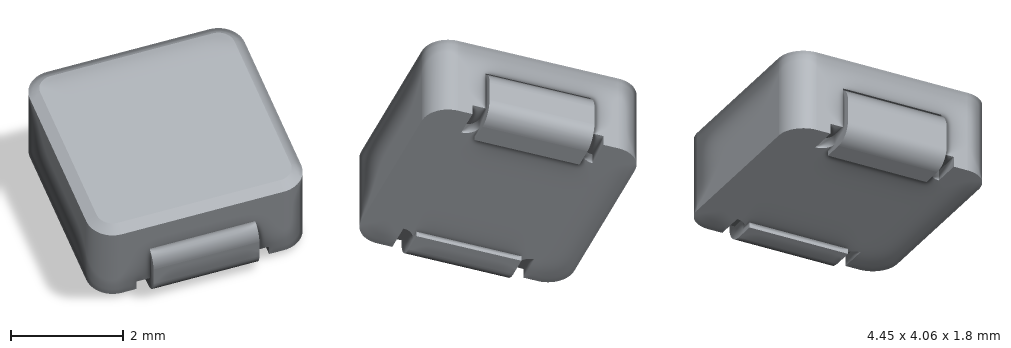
import cadquery as cq
import math

overall_length = 4.45
housing_side = 4.06
overall_height = 1.8
standoff = 0.102

corner_radius = 0.5
chamfer_inset = 0.195
chamfer_drop = 0.102
channel_width = 2.5
channel_height = 0.2

terminal_width = 2.0
terminal_height = 1.1
bend_radius = 0.35
foot_length = 0.755

half_side = housing_side / 2
half_length = overall_length / 2
half_channel = channel_width / 2
half_terminal = terminal_width / 2
side_height = overall_height - chamfer_drop - standoff
channel_top = standoff + channel_height
foot_inner_x = half_length - foot_length
arm_inner_x = half_length - bend_radius
bend_diagonal = bend_radius * math.sqrt(0.5)
flare_radius = half_channel - half_terminal
flare_diagonal = flare_radius * math.sqrt(0.5)


def make_channel():
    """Space along the full length of the housing floor that takes the strap."""
    return cq.Workplane("XY", origin=(0, 0, standoff)).box(
        housing_side, channel_width, channel_height, centered=(True, True, False)
    )


def make_right_arm_recess():
    """Space in the +X wall of the housing that takes the inner part of the terminal arm."""
    return cq.Workplane("XY", origin=(arm_inner_x, 0, standoff)).box(
        half_side - arm_inner_x, terminal_width, terminal_height - standoff, centered=(False, True, False)
    )


def make_housing():
    """Square block with round corners and a shallow top chamfer, cut out for the lead frame."""
    block = (
        cq.Workplane("XY", origin=(0, 0, standoff))
        .rect(housing_side, housing_side)
        .extrude(side_height)
        .edges("|Z")
        .fillet(corner_radius)
    )
    taper = math.degrees(math.atan(chamfer_inset / chamfer_drop))
    cap = block.faces(">Z").wires().toPending().extrude(chamfer_drop, taper=taper, combine=False)
    arm_recess = make_right_arm_recess()
    return block.union(cap).cut(make_channel()).cut(arm_recess).cut(arm_recess.mirror("YZ"))


def make_right_terminal():
    """Terminal at +X: a foot under the housing and an arm up its side, with two round bends."""
    arc_mid_x = arm_inner_x + bend_diagonal
    upper_bend_z = terminal_height - bend_radius
    return (
        cq.Workplane("XZ", origin=(0, half_terminal, 0))
        .moveTo(foot_inner_x, 0)
        .lineTo(arm_inner_x, 0)
        .threePointArc((arc_mid_x, bend_radius - bend_diagonal), (half_length, bend_radius))
        .lineTo(half_length, upper_bend_z)
        .threePointArc((arc_mid_x, upper_bend_z + bend_diagonal), (arm_inner_x, terminal_height))
        .lineTo(arm_inner_x, channel_top)
        .lineTo(foot_inner_x, channel_top)
        .close()
        .extrude(terminal_width)
    )


def make_strap():
    """Strap in the channel that joins the terminals, with round flares down to their width."""
    flare_x = foot_inner_x + flare_radius
    return (
        cq.Workplane("XY", origin=(0, 0, standoff))
        .moveTo(0, half_channel)
        .lineTo(foot_inner_x, half_channel)
        .threePointArc(
            (flare_x - flare_diagonal, half_channel - flare_diagonal), (flare_x, half_terminal)
        )
        .lineTo(flare_x, 0)
        .lineTo(0, 0)
        .close()
        .extrude(channel_height)
    )


def make_lead_frame():
    """One-piece lead frame: a terminal at each end of the strap."""
    half_frame = make_strap().union(make_strap().mirror("XZ")).union(make_right_terminal())
    return half_frame.union(half_frame.mirror("YZ"))


housing = make_housing()
lead_frame = make_lead_frame()

result = cq.Compound.makeCompound([housing.solids().val(), lead_frame.solids().val()])